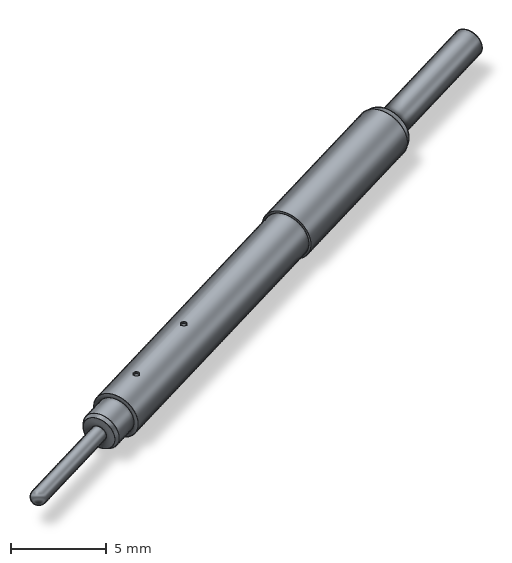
import cadquery as cq

length = 43.3
rear_y = length / 2
tip_y = -length / 2

tail_radius = 1.7 / 2
collar_radius = 3.0 / 2
sleeve_radius = 2.73 / 2
nose_radius = 2.2 / 2
pin_radius = 0.9 / 2

tail_length = 8.15
collar_length = 10.0
sleeve_length = 17.0
nose_length = 1.7

collar_y = rear_y - tail_length
sleeve_y = collar_y - collar_length
nose_y = sleeve_y - sleeve_length
pin_y = nose_y - nose_length

collar_chamfer_length = 0.4
collar_chamfer_depth = 0.15
nose_chamfer_length = 0.2
nose_chamfer_depth = 0.15

mark_diameter = 0.35
mark_depth = 0.15
front_mark_offset = 2.05
mark_spacing = 4.7


def make_body():
    """Revolve the stepped half profile, with a hemispherical tip, about the Y axis."""
    profile = (
        cq.Workplane("XY")
        .moveTo(0, rear_y)
        .lineTo(tail_radius, rear_y)
        .lineTo(tail_radius, collar_y)
        .lineTo(collar_radius - collar_chamfer_depth, collar_y)
        .lineTo(collar_radius, collar_y - collar_chamfer_length)
        .lineTo(collar_radius, sleeve_y)
        .lineTo(sleeve_radius, sleeve_y)
        .lineTo(sleeve_radius, nose_y)
        .lineTo(nose_radius, nose_y)
        .lineTo(nose_radius, pin_y + nose_chamfer_length)
        .lineTo(nose_radius - nose_chamfer_depth, pin_y)
        .lineTo(pin_radius, pin_y)
        .lineTo(pin_radius, tip_y + pin_radius)
        .radiusArc((0, tip_y), pin_radius)
        .close()
    )
    return profile.revolve(360, (0, 0, 0), (0, 1, 0))


def make_marks():
    """Return the cutters for the two round marks along the top of the sleeve."""
    front_mark_y = nose_y + front_mark_offset
    return (
        cq.Workplane("XY", origin=(0, 0, sleeve_radius - mark_depth))
        .pushPoints([(0, front_mark_y), (0, front_mark_y + mark_spacing)])
        .circle(mark_diameter / 2)
        .extrude(2 * mark_depth)
    )


result = make_body().cut(make_marks())